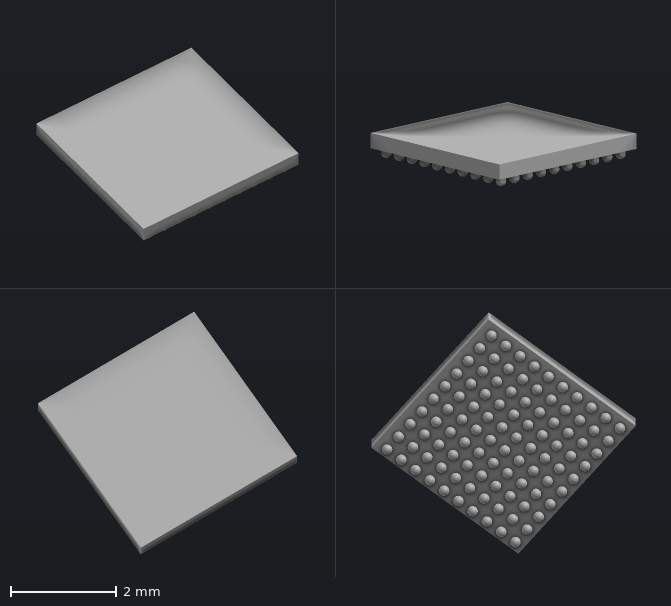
import cadquery as cq

length_x = 3.54
width_y = 3.61

ball_count = 10
ball_pitch = 0.35
ball_diameter = 0.2
ball_standoff = 0.19

cover_thickness = 0.025
dot_diameter = 0.253
dot_edge_x = 0.33
dot_edge_y = 0.325

package_height = 0.49
ball_center_z = ball_diameter / 2
housing_bottom_z = ball_standoff
cover_bottom_z = package_height - cover_thickness


def slab(bottom_z, top_z):
    """Rectangular slab over the full package outline."""
    return (
        cq.Workplane("XY", origin=(0, 0, bottom_z))
        .rect(length_x, width_y)
        .extrude(top_z - bottom_z)
    )


def pin_one_dot():
    """Disc as thick as the cover: a boss on the housing, a window in the cover."""
    dot_x = dot_edge_x - length_x / 2
    dot_y = width_y / 2 - dot_edge_y
    return (
        cq.Workplane("XY", origin=(dot_x, dot_y, cover_bottom_z))
        .circle(dot_diameter / 2)
        .extrude(cover_thickness)
    )


def solder_balls():
    """Square grid of balls centred under the package."""
    return (
        cq.Workplane("XY", origin=(0, 0, ball_center_z))
        .rarray(ball_pitch, ball_pitch, ball_count, ball_count)
        .sphere(ball_diameter / 2, combine=False)
    )


def make_housing():
    """Housing block with the solder balls below and the pin-1 dot on top."""
    block = slab(housing_bottom_z, cover_bottom_z)
    return block.union(solder_balls()).union(pin_one_dot())


def make_cover():
    """Cover sheet whose window fits around the pin-1 dot, flush with it."""
    return slab(cover_bottom_z, package_height).cut(pin_one_dot())


housing = make_housing()
cover = make_cover()

result = cq.Compound.makeCompound([housing.solids().val(), cover.solids().val()])